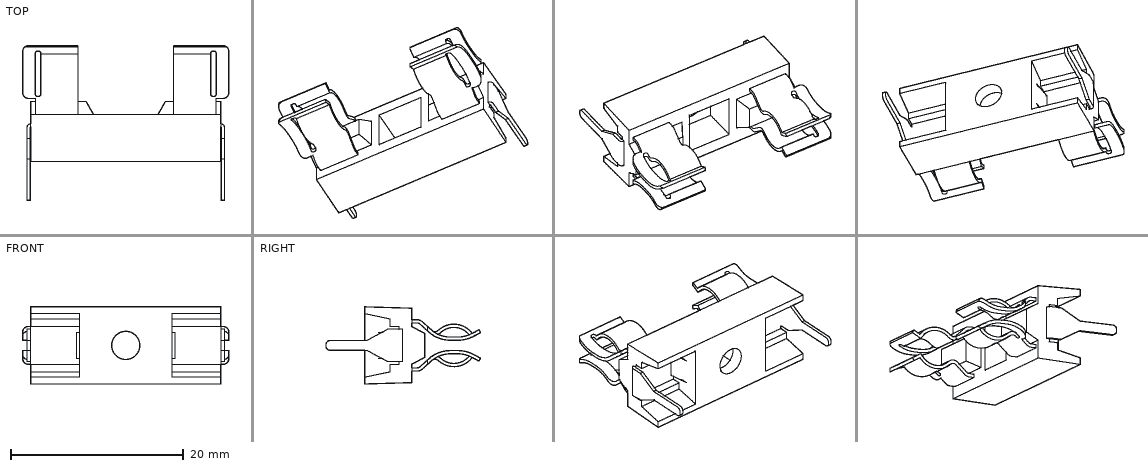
import cadquery as cq
import math


base_half_length = 11.05
base_depth = 5.5
base_front_half_height = 4.5
base_back_half_height = 4.34

ridge_top = 7.0
ridge_root_half_height = 2.2
ridge_top_half_height = 1.4
ridge_root_inner_x = 3.75
ridge_top_inner_x = 4.6

pocket_inner_x = 5.35
pocket_mouth_half_height = 3.7
pocket_step_half_height = 3.08
pocket_step_depth = 2.95
pocket_floor_half_height = 2.22
pocket_floor_depth = 4.0
catch_start_depth = 1.63
catch_half_height = 1.52
catch_height = 0.38

hole_diameter = 3.25
nut_width = 5.5
nut_seat_depth = 1.5

sheet = 0.4
overlap = 0.5

tail_mid_x = 11.3
tail_bend_radius = 0.25
tail_tip_y = -4.5
tail_wide_half = 1.88
tail_narrow_half = 0.58
tail_taper_start_y = 2.68
tail_taper_end_y = 0.28
tail_tip_fillet = 0.5

arm_inner_x = 5.55
arm_root_outer_x = 10.5
arm_outer_x = 12.0
arm_shoulder_y = 7.33
arm_tip_y = 13.5
arm_corner_radius = 0.72
arm_tip_inner_radius = 0.15
slot_inner_x = 9.9
slot_outer_x = arm_root_outer_x
slot_start_y = 7.6
slot_end_y = 12.83
slot_corner_radius = 0.2

arm_root_z = 2.8
root_bend_y = 6.38
root_bend_radius = 0.69
ramp_angle = 42.0
bow_centre_y = 10.42
bow_z = 0.78
bow_flat_half = 0.4
bow_bend_radius = 3.75
flare_angle = 28.0
ramp_bend_radius = 2.6
arch_start_angle = 39.0
arch_end_angle = 49.7
arch_valley_y = 8.17
arch_valley_radius = 0.7
arch_crest_y = 10.71
arch_bend_radius = 2.45


def slope(angle):
    return math.tan(math.radians(angle))


def offset_corners(points, distance):
    """Shift an open polyline sideways to its left, keeping mitred corners."""
    headings = [math.atan2(b[1] - a[1], b[0] - a[0]) for a, b in zip(points, points[1:])]
    shifted = []
    for i, (x, y) in enumerate(points):
        before = headings[max(i - 1, 0)]
        after = headings[min(i, len(headings) - 1)]
        normal = (before + after) / 2 + math.pi / 2
        reach = distance / math.cos((after - before) / 2)
        shifted.append((x + reach * math.cos(normal), y + reach * math.sin(normal)))
    return shifted


def toward(start, end, distance):
    """Point at a distance from start on the way to end."""
    length = math.dist(start, end)
    return tuple(s + (e - s) * distance / length for s, e in zip(start, end))


def draw_bends(outline, corners, radii):
    """Continue an outline through the corners, rounding each inner corner with an arc."""
    for before, corner, after, radius in zip(corners, corners[1:], corners[2:], radii):
        if radius <= 0:
            outline = outline.lineTo(*corner)
            continue
        turn = math.pi - math.acos(
            sum((b - c) * (a - c) for b, c, a in zip(before, corner, after))
            / (math.dist(before, corner) * math.dist(corner, after))
        )
        tangent = radius * math.tan(turn / 2)
        arc_start = toward(corner, before, tangent)
        arc_end = toward(corner, after, tangent)
        chord_middle = tuple((s + e) / 2 for s, e in zip(arc_start, arc_end))
        arc_middle = toward(corner, chord_middle, radius / math.cos(turn / 2) - radius)
        outline = outline.lineTo(*arc_start).threePointArc(arc_middle, arc_end)
    return outline.lineTo(*corners[-1])


def bent_sheet(workplane, points, radii):
    """Closed outline of a sheet bent along a mid-line; a radius of 0 is a sharp corner."""
    left = offset_corners(points, sheet / 2)
    right = offset_corners(points, -sheet / 2)
    left_radii = []
    right_radii = []
    for before, corner, after, radius in zip(points, points[1:], points[2:], radii):
        run_in, rise_in = corner[0] - before[0], corner[1] - before[1]
        run_out, rise_out = after[0] - corner[0], after[1] - corner[1]
        cross = run_in * rise_out - rise_in * run_out
        inward = math.copysign(sheet / 2, cross) if radius > 0 else 0
        left_radii.append(radius - inward)
        right_radii.append(radius + inward)
    outline = draw_bends(workplane.moveTo(*left[0]), left, left_radii)
    outline = outline.lineTo(*right[-1])
    return draw_bends(outline, right[::-1], right_radii[::-1]).close()


def symmetric_profile(x, half_outline):
    """Closed Y-Z profile at the given x, from (y, z) points of its +Z half."""
    mirrored = [(y, -z) for y, z in reversed(half_outline)]
    return cq.Workplane("YZ", origin=(x, 0, 0)).polyline(half_outline + mirrored).close()


def make_base_block():
    half_outline = [(0, base_front_half_height), (base_depth, base_back_half_height)]
    return symmetric_profile(-base_half_length, half_outline).extrude(2 * base_half_length)


def make_ridge():
    half_outline = [
        (base_depth, ridge_root_half_height),
        (ridge_top, ridge_top_half_height),
    ]
    bar = symmetric_profile(ridge_root_inner_x, half_outline).extrude(base_half_length - ridge_root_inner_x)
    plan = (
        cq.Workplane("XY", origin=(0, 0, -ridge_root_half_height))
        .polyline([
            (ridge_root_inner_x, base_depth),
            (ridge_top_inner_x, ridge_top),
            (base_half_length, ridge_top),
            (base_half_length, base_depth),
        ])
        .close()
        .extrude(2 * ridge_root_half_height)
    )
    return bar.intersect(plan)


def make_pocket():
    half_outline = [
        (0, pocket_mouth_half_height),
        (pocket_step_depth, pocket_step_half_height),
        (pocket_step_depth, pocket_floor_half_height),
        (pocket_floor_depth, pocket_floor_half_height),
    ]
    return symmetric_profile(pocket_inner_x, half_outline).extrude(base_half_length - pocket_inner_x)


def make_catch():
    """Wedge on the inner pocket wall, growing toward the pocket floor."""
    return (
        cq.Workplane("XY", origin=(0, 0, -catch_half_height))
        .polyline([
            (pocket_inner_x, catch_start_depth),
            (pocket_inner_x + catch_height, pocket_floor_depth),
            (pocket_inner_x, pocket_floor_depth),
        ])
        .close()
        .extrude(2 * catch_half_height)
    )


def make_mounting_hole():
    hole = cq.Workplane("XZ").circle(hole_diameter / 2).extrude(-base_depth)
    recess = (
        cq.Workplane("XZ", origin=(0, nut_seat_depth, 0))
        .rect(nut_width, nut_width)
        .extrude(nut_seat_depth - base_depth)
    )
    return hole.union(recess)


def make_tail():
    plate_mid_y = pocket_floor_depth + sheet / 2
    mid_line = [
        (base_half_length - overlap, plate_mid_y),
        (tail_mid_x, plate_mid_y),
        (tail_mid_x, tail_tip_y),
    ]
    strip = bent_sheet(
        cq.Workplane("XY", origin=(0, 0, -tail_wide_half)), mid_line, [tail_bend_radius]
    ).extrude(2 * tail_wide_half)
    half_outline = [
        (tail_tip_y, tail_narrow_half),
        (tail_taper_end_y, tail_narrow_half),
        (tail_taper_start_y, tail_wide_half),
        (pocket_floor_depth + sheet, tail_wide_half),
    ]
    blank_start_x = base_half_length - overlap
    blank = (
        symmetric_profile(blank_start_x, half_outline)
        .extrude(tail_mid_x + sheet - blank_start_x)
        .edges("|X and <Y")
        .fillet(tail_tip_fillet)
    )
    return strip.intersect(blank)


def arm_root_points():
    return [(base_depth - overlap, arm_root_z), (root_bend_y, arm_root_z)]


def ramp_meeting(y, z, angle):
    """Point where the ramp meets the line through (y, z) that rises toward -Y at the given angle."""
    meeting_y = (
        (arm_root_z + slope(ramp_angle) * root_bend_y - z - slope(angle) * y)
        / (slope(ramp_angle) - slope(angle))
    )
    return meeting_y, z + slope(angle) * (y - meeting_y)


def bow_corner_offset():
    return bow_flat_half + bow_bend_radius * slope(flare_angle / 2)


def arm_tip_point():
    tip_mid_y = arm_tip_y - sheet / 2 * math.sin(math.radians(flare_angle))
    bow_corner_y = bow_centre_y + bow_corner_offset()
    return tip_mid_y, bow_z + slope(flare_angle) * (tip_mid_y - bow_corner_y)


def bow_mid_line():
    """Outer strip of an arm: bows in toward the fuse axis."""
    near_corner = (bow_centre_y - bow_corner_offset(), bow_z)
    far_corner = (bow_centre_y + bow_corner_offset(), bow_z)
    ramp_end = ramp_meeting(*near_corner, flare_angle)
    points = arm_root_points() + [ramp_end, near_corner, far_corner, arm_tip_point()]
    radii = [root_bend_radius, ramp_bend_radius, bow_bend_radius, bow_bend_radius]
    return points, radii


def arch_mid_line():
    """Inner strip of an arm: arches away from the fuse axis, then folds back to the tip."""
    valley_z = arm_root_z - slope(ramp_angle) * (arch_valley_y - root_bend_y)
    crest_z = valley_z + slope(arch_start_angle) * (arch_crest_y - arch_valley_y)
    tip_y, tip_z = arm_tip_point()
    fold_y = (
        (crest_z + slope(arch_end_angle) * arch_crest_y - tip_z + slope(flare_angle) * tip_y)
        / (slope(arch_end_angle) + slope(flare_angle))
    )
    fold_z = tip_z - slope(flare_angle) * (tip_y - fold_y)
    points = arm_root_points() + [
        (arch_valley_y, valley_z),
        (arch_crest_y, crest_z),
        (fold_y, fold_z),
        (tip_y, tip_z),
    ]
    radii = [root_bend_radius, arch_valley_radius, arch_bend_radius, 0]
    return points, radii


def make_strip(mid_line, start_x, end_x):
    points, radii = mid_line
    return bent_sheet(cq.Workplane("YZ", origin=(start_x, 0, 0)), points, radii).extrude(end_x - start_x)


def plan_box(start_x, start_y, end_x, end_y):
    """Block over an X-Y rectangle, tall enough to cover an arm on the +Z side."""
    size = (end_x - start_x, end_y - start_y, base_front_half_height)
    return cq.Workplane("XY").box(*size, centered=False).translate((start_x, start_y, 0))


def make_arm():
    slot_mid_x = (slot_inner_x + slot_outer_x) / 2
    arch = make_strip(arch_mid_line(), arm_inner_x, slot_mid_x)
    bow = make_strip(bow_mid_line(), slot_mid_x, arm_outer_x)
    head = (
        plan_box(arm_inner_x, arm_shoulder_y, arm_outer_x, arm_tip_y)
        .edges("|Z and >X")
        .fillet(arm_corner_radius)
        .edges("|Z and <X and >Y")
        .fillet(arm_tip_inner_radius)
    )
    root = plan_box(arm_inner_x, base_depth - overlap, arm_root_outer_x, arm_shoulder_y)
    slot = plan_box(slot_inner_x, slot_start_y, slot_outer_x, slot_end_y)
    slot = slot.edges("|Z").fillet(slot_corner_radius)
    return arch.union(bow).intersect(head.union(root)).cut(slot)


def both_ends(feature):
    """A feature of the +X end together with its mirror image at the -X end."""
    return feature.union(feature.mirror("YZ"))


arm = make_arm()
arm_pair = arm.union(arm.mirror("XY"))

result = make_base_block().cut(make_mounting_hole())
result = result.union(both_ends(make_ridge()))
result = result.cut(both_ends(make_pocket()))
result = result.union(both_ends(make_catch()))
result = result.union(both_ends(make_tail()))
result = result.union(both_ends(arm_pair))